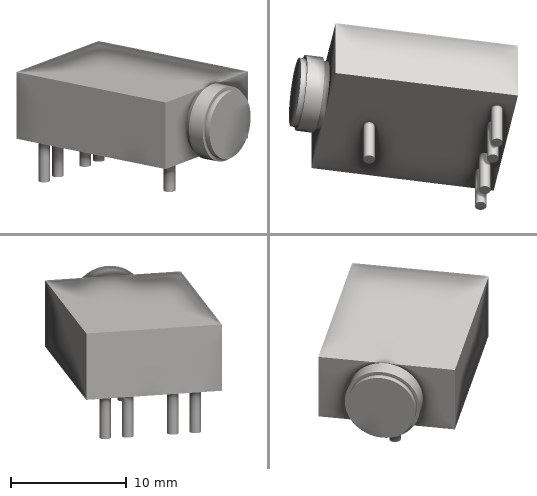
import cadquery as cq

housing_length = 16.0
housing_width = 12.0
housing_height = 6.0

overall_length = 18.5
barrel_diameter = housing_height
barrel_length = overall_length - housing_length
barrel_axis_z = housing_height / 2
barrel_seat_depth = 0.11

nut_diameter = 6.6
nut_width = 1.5
nut_start_x = housing_length + (barrel_length - nut_width) / 2

pin_diameter = 1.0
pin_length = 4.0
pin_pitch = 2.0
rear_pin_x = 1.5
front_pin_x = 12.0
pin_positions = [(rear_pin_x, step * pin_pitch) for step in (-2, -1, 1, 2)]
pin_positions.append((front_pin_x, 0))


def make_cylinder_along_x(start_x, length, diameter):
    """Solid cylinder on the barrel axis."""
    return (
        cq.Workplane("YZ", origin=(start_x, 0, barrel_axis_z))
        .circle(diameter / 2)
        .extrude(length)
    )


def make_barrel():
    """Plain round barrel, seated in the housing."""
    start_x = housing_length - barrel_seat_depth
    return make_cylinder_along_x(start_x, barrel_length + barrel_seat_depth, barrel_diameter)


def make_housing():
    """Rectangular block with a shallow round seat for the barrel."""
    block = cq.Workplane("XY").box(
        housing_length, housing_width, housing_height, centered=(False, True, False)
    )
    return block.cut(make_barrel())


def make_nut():
    """Round nut with a bore that fits the barrel."""
    bore = make_cylinder_along_x(nut_start_x, nut_width, barrel_diameter)
    return make_cylinder_along_x(nut_start_x, nut_width, nut_diameter).cut(bore)


def make_pin(x, y):
    """Straight round pin hanging from the underside of the housing."""
    return (
        cq.Workplane("XY", origin=(x, y, 0))
        .circle(pin_diameter / 2)
        .extrude(-pin_length)
    )


housing = make_housing()
barrel = make_barrel()
nut = make_nut()
pins = [make_pin(x, y) for x, y in pin_positions]

result = cq.Compound.makeCompound(
    [housing.val(), barrel.val(), nut.val(), *[pin.val() for pin in pins]]
)